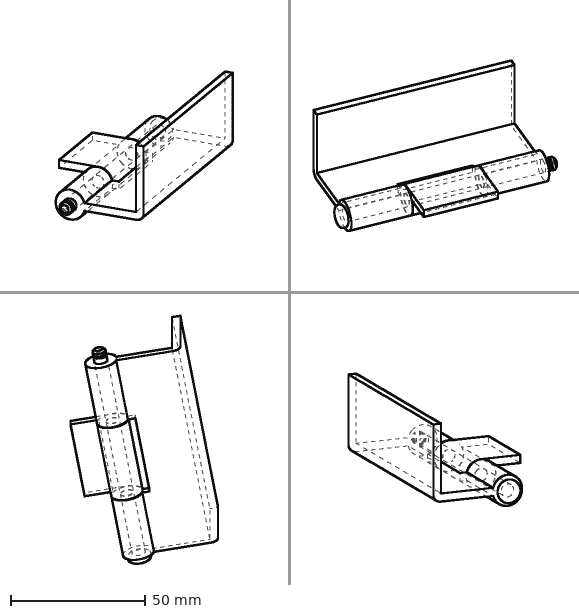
import cadquery as cq

total_length = 88.0
head_length = 3.0
tail_length = 5.0
wide_length = total_length - head_length - tail_length

barrel_radius = 6.0
sheet = 3.2
wide_right = 30.0
wide_top = 28.4
bend_radius = 3.0
narrow_left = -16.0
narrow_length = 30.0
notch_length = 30.45
notch_right = 8.5

pin_radius = 5.0 / 2
head_radius = 4.5
head_round = head_length / 2
groove_radius = 2.0
groove_offset = 2.2
groove_width = 0.7
tip_chamfer = 0.9


def bar_along_y(radius, start_y, length):
    """Round bar on the hinge axis, growing toward +Y from start_y."""
    return cq.Workplane("XZ", origin=(0, start_y, 0)).circle(radius).extrude(-length)


def centred_box(left, right, bottom, top, length):
    """Box with the given X and Z limits, centred along Y."""
    return cq.Workplane("XY").box(right - left, length, top - bottom).translate(
        ((left + right) / 2, 0, (bottom + top) / 2)
    )


def cut_pin_bore(leaf):
    return leaf.cut(bar_along_y(pin_radius, -wide_length / 2, wide_length))


def make_wide_leaf():
    """Angled leaf with an outer knuckle at each end."""
    flat = centred_box(0, wide_right, -sheet / 2, sheet / 2, wide_length)
    upright = centred_box(wide_right - sheet, wide_right, -sheet / 2, wide_top, wide_length)
    angle = flat.union(upright).edges("|Y and >X and <Z").fillet(bend_radius)
    barrel = bar_along_y(barrel_radius, -wide_length / 2, wide_length)
    notch = centred_box(-barrel_radius, notch_right, -barrel_radius, barrel_radius, notch_length)
    return cut_pin_bore(angle.union(barrel).cut(notch))


def make_narrow_leaf():
    """Flat leaf tangent to the top of the middle knuckle."""
    plate = centred_box(narrow_left, 0, barrel_radius - sheet, barrel_radius, narrow_length)
    barrel = bar_along_y(barrel_radius, -narrow_length / 2, narrow_length)
    return cut_pin_bore(plate.union(barrel))


def make_pin_head():
    """Disc with a fully rounded rim, seated on the end of the wide leaf."""
    head_start = wide_length / 2
    head_end = head_start + head_length
    face_radius = head_radius - head_round
    return (
        cq.Workplane("XY")
        .moveTo(0, head_start)
        .lineTo(face_radius, head_start)
        .threePointArc((head_radius, head_start + head_round), (face_radius, head_end))
        .lineTo(0, head_end)
        .close()
        .revolve(360, (0, 0, 0), (0, 1, 0))
    )


def make_pin():
    """Headed pin with a retaining groove and a chamfered tip."""
    shank_start = -wide_length / 2 - tail_length
    shank = bar_along_y(pin_radius, shank_start, tail_length + wide_length)
    shank = shank.faces("<Y").chamfer(tip_chamfer)
    head = make_pin_head()
    groove_start = -wide_length / 2 - groove_offset - groove_width
    groove = bar_along_y(pin_radius, groove_start, groove_width).cut(
        bar_along_y(groove_radius, groove_start, groove_width)
    )
    return shank.cut(groove).union(head)


wide_leaf = make_wide_leaf()
narrow_leaf = make_narrow_leaf()
pin = make_pin()

result = cq.Compound.makeCompound([wide_leaf.val(), narrow_leaf.val(), pin.val()])